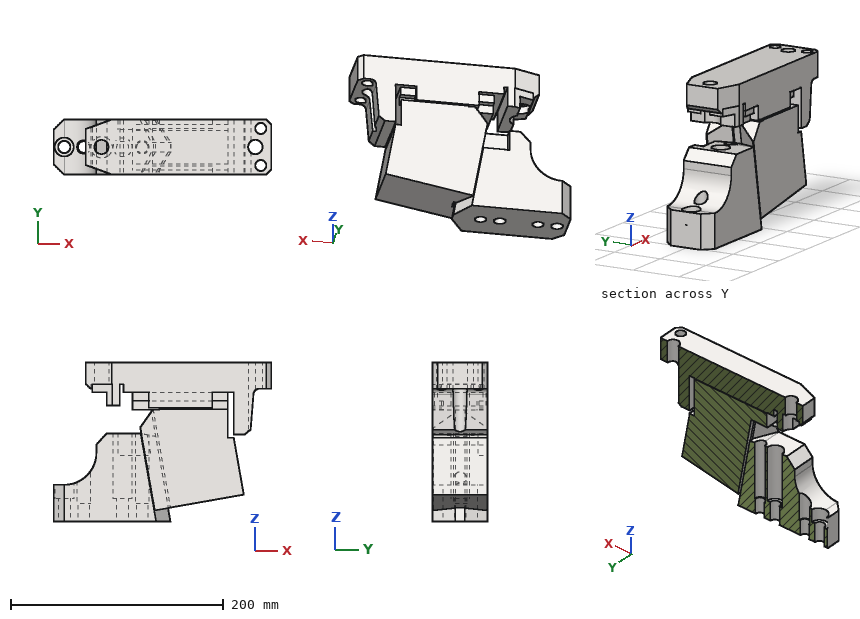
import cadquery as cq
import math

WIDTH = 52.0
HALF_WIDTH = WIDTH / 2
TOTAL_HEIGHT = 150.0
SLIDE_ANGLE = 10
SLIDE_TAN = math.tan(math.radians(SLIDE_ANGLE))
SLIDE_COS = math.cos(math.radians(SLIDE_ANGLE))
SLIDE_SIN = math.sin(math.radians(SLIDE_ANGLE))

DRIVER_FOOT_X = 96.5
DRIVER_TOP_Z = 83.2
TOE_HEIGHT = 34.8
TOE_LENGTH = 10.2
TOE_CORNER = 9.8
SCOOP_RADIUS = 30.0
SHOULDER_Z = 72.5
SHOULDER_RUN = 9.8
RIDGE_DEPTH = 13.3
RIDGE_CREST = 8.6
RIDGE_TOP_FALL = 11
CREST_SLOT_DEPTH = 2.0
CREST_X = RIDGE_DEPTH / SLIDE_COS
HALF_CREST = RIDGE_CREST / 2

BOLT_XS = (10.0, 64.8)
BOLT_DIAMETER = 11.3
BOLT_HEAD_DIAMETER = 17.8
BOLT_SEAT_Z = 22.0
DOWEL_XS = (28.3, 83.2)
DOWEL_DIAMETER = 12.5
DOWEL_EXIT_DIAMETER = 10.7
DOWEL_SEAT_Z = 17.5

NOTCH_X = 60.5
NOTCH_DEPTH = 9.5
NOTCH_FLOOR_Z = 62.7

SLIDE_GAP = 0.6
SLIDER_TOP_Z = 105.8
SLIDER_LEDGE_Z = 105.2
SLIDER_LEDGE_END_X = 99.5
SLIDER_NOSE_Z = 88.8
SLIDER_CHAMFER_X = 93.0
SLIDER_BOTTOM_Z = 10.7
SLIDER_LENGTH = 85.0
SLIDER_STEP_X = 164.0
SLIDER_STEP_Z = 79.1
TEE_START_X = 74.2
NECK_WIDTH = 31.2
FLANGE_WIDTH = 42.6
FLANGE_BOTTOM_Z = 113.8

HOLDER_START_X = 30.1
HOLDER_END_X = 205.0
HOLDER_UNDERSIDE_Z = 121.8
NOSE_WIDTH = 33.8
NOSE_END_X = 55.0
NOSE_CHAMFER = 4.7
TAIL_Z = 125.0
TAIL_CORNER = 5.0
POST_START_X = 50.0
POST_END_X = 62.3
POST_BOTTOM_Z = 109.3
POST_RIB_X = 36.3
RELIEF_TOP_Z = 129.2
RELIEF_RUN = 0.5
SLOT_END_X = 65.5
RAIL_START_X = 89.5
RAIL_END_X = 149.5
RAIL_BOTTOM_Z = 107.2
RAIL_MOUTH_WIDTH = 35.3
HOOK_START_X = 169.5
HOOK_BOTTOM_X = 179.8
HOOK_TIP_X = 185.5
HOOK_ROOT_X = 188.5
HOOK_BOTTOM_Z = 82.0
HOOK_CHAMFER_Z = 86.7
HOOK_FILLET = 5.3

MAIN_HOLE_DIAMETER = 13.3
MAIN_HOLE_XS = (45.0, 189.8)
POST_BORE_DIAMETER = 20.0
SIDE_HOLE_DIAMETER = 10.2
SIDE_HOLE_X = 195.0
SIDE_HOLE_SPACING = 34.8


def extrude_profile(points, width=WIDTH):
    """Prism of an XZ outline, centred on Y = 0."""
    return cq.Workplane("XZ").polyline(points).close().extrude(width / 2, both=True)


def block(x_range, y_range, z_range):
    """Axis-aligned box between the given limits."""
    size = [high - low for low, high in (x_range, y_range, z_range)]
    return cq.Workplane("XY").box(*size, centered=False).translate((x_range[0], y_range[0], z_range[0]))


def vertical_hole(x, y, diameter, bottom_z, top_z):
    """Cylinder along Z that is cut to make a hole."""
    cylinder = cq.Workplane("XY").circle(diameter / 2).extrude(top_z - bottom_z)
    return cylinder.translate((x, y, bottom_z))


def slide_face_x(z):
    """X of the driver's inclined face at height z."""
    return DRIVER_FOOT_X - z * SLIDE_TAN


def sweep_up_incline(plan, top_z):
    """Horizontal section, with X from the inclined face, swept up the incline from Z = 0 to top_z."""
    section = cq.Workplane("XY").polyline([(DRIVER_FOOT_X + x, y) for x, y in plan]).close()
    path = cq.Workplane("XZ").moveTo(DRIVER_FOOT_X, 0).lineTo(slide_face_x(top_z), top_z)
    return section.sweep(path)


def make_ridge(top_z):
    """V ridge with a flat crest, as wide as the driver at its root."""
    plan = [(0, -HALF_WIDTH), (CREST_X, -HALF_CREST), (CREST_X, HALF_CREST), (0, HALF_WIDTH)]
    return sweep_up_incline(plan, top_z)


def make_ridge_top_cut():
    """Wedge that makes the ridge's top fall away from the driver's top edge toward +X."""
    edge_x = slide_face_x(DRIVER_TOP_Z)
    fall = (DRIVER_FOOT_X - edge_x) * math.tan(math.radians(RIDGE_TOP_FALL))
    return extrude_profile([
        (edge_x, DRIVER_TOP_Z),
        (DRIVER_FOOT_X, DRIVER_TOP_Z - fall),
        (DRIVER_FOOT_X, DRIVER_TOP_Z),
    ])


def make_crest_slot(top_z):
    """Straight clearance slot that lies beyond the crest of the ridge."""
    floor_x = (RIDGE_DEPTH + CREST_SLOT_DEPTH) / SLIDE_COS
    plan = [(CREST_X, -HALF_CREST), (floor_x, -HALF_CREST), (floor_x, HALF_CREST), (CREST_X, HALF_CREST)]
    return sweep_up_incline(plan, top_z)


def make_driver():
    """Base with a scooped front, bolt and dowel holes, and the V ridge on its inclined face."""
    wall_x = TOE_LENGTH + SCOOP_RADIUS
    scoop_mid = (
        TOE_LENGTH + SCOOP_RADIUS * math.sin(math.pi / 4),
        TOE_HEIGHT + SCOOP_RADIUS * (1 - math.cos(math.pi / 4)),
    )
    body = (
        cq.Workplane("XZ")
        .moveTo(0, 0)
        .lineTo(0, TOE_HEIGHT)
        .lineTo(TOE_LENGTH, TOE_HEIGHT)
        .threePointArc(scoop_mid, (wall_x, TOE_HEIGHT + SCOOP_RADIUS))
        .lineTo(wall_x, SHOULDER_Z)
        .lineTo(wall_x + SHOULDER_RUN, DRIVER_TOP_Z)
        .lineTo(slide_face_x(DRIVER_TOP_Z), DRIVER_TOP_Z)
        .lineTo(DRIVER_FOOT_X, 0)
        .close()
        .extrude(HALF_WIDTH, both=True)
    )
    body = body.edges("|Z and <X").chamfer(TOE_CORNER)
    ridge_top = make_ridge_top_cut()
    body = body.union(make_ridge(DRIVER_TOP_Z).cut(ridge_top))
    for x in BOLT_XS:
        body = body.cut(vertical_hole(x, 0, BOLT_DIAMETER, 0, DRIVER_TOP_Z))
        body = body.cut(vertical_hole(x, 0, BOLT_HEAD_DIAMETER, BOLT_SEAT_Z, DRIVER_TOP_Z))
    for x in DOWEL_XS:
        body = body.cut(vertical_hole(x, 0, DOWEL_EXIT_DIAMETER, 0, DRIVER_TOP_Z))
        body = body.cut(vertical_hole(x, 0, DOWEL_DIAMETER, DOWEL_SEAT_Z, DRIVER_TOP_Z))
    notch_y = (HALF_WIDTH - NOTCH_DEPTH, HALF_WIDTH)
    notch = block((NOTCH_X, DRIVER_FOOT_X), notch_y, (NOTCH_FLOOR_Z, DRIVER_TOP_Z))
    return body.cut(notch)


def make_slider():
    """Block grooved to fit the ridge, with a tee on top that hangs it from the holder."""
    face_foot_x = DRIVER_FOOT_X + SLIDE_GAP
    corner_x = face_foot_x - SLIDER_BOTTOM_Z * SLIDE_TAN
    back_x = corner_x + SLIDER_LENGTH * SLIDE_COS
    back_z = SLIDER_BOTTOM_Z + SLIDER_LENGTH * SLIDE_SIN
    body = extrude_profile([
        (corner_x, SLIDER_BOTTOM_Z),
        (face_foot_x - SLIDER_NOSE_Z * SLIDE_TAN, SLIDER_NOSE_Z),
        (SLIDER_CHAMFER_X, SLIDER_LEDGE_Z),
        (SLIDER_LEDGE_END_X, SLIDER_LEDGE_Z),
        (SLIDER_LEDGE_END_X, SLIDER_TOP_Z),
        (SLIDER_STEP_X, SLIDER_TOP_Z),
        (SLIDER_STEP_X, SLIDER_STEP_Z),
        (back_x - (SLIDER_STEP_Z - back_z) * SLIDE_TAN, SLIDER_STEP_Z),
        (back_x, back_z),
    ])
    body = body.cut(make_ridge(SLIDER_LEDGE_Z)).cut(make_crest_slot(SLIDER_LEDGE_Z))
    tee_x = (TEE_START_X, SLIDER_STEP_X)
    neck = block(tee_x, (-NECK_WIDTH / 2, NECK_WIDTH / 2), (SLIDER_LEDGE_Z, FLANGE_BOTTOM_Z))
    flange = block(tee_x, (-FLANGE_WIDTH / 2, FLANGE_WIDTH / 2), (FLANGE_BOTTOM_Z, HOLDER_UNDERSIDE_Z))
    return body.union(neck).union(flange)


def nose_half_width(x):
    """Half width of the tapered nose at x."""
    taper = (HALF_WIDTH - NOSE_WIDTH / 2) / (NOSE_END_X - HOLDER_START_X)
    return NOSE_WIDTH / 2 + taper * (x - HOLDER_START_X)


def make_holder():
    """Top plate with a front post, a slotted rail for the slider's tee, and a rear hook."""
    body = extrude_profile([
        (HOLDER_START_X, TOTAL_HEIGHT),
        (HOLDER_START_X, TAIL_Z + NOSE_CHAMFER),
        (HOLDER_START_X + NOSE_CHAMFER, TAIL_Z),
        (POST_RIB_X, TAIL_Z),
        (POST_RIB_X, HOLDER_UNDERSIDE_Z),
        (POST_START_X, HOLDER_UNDERSIDE_Z),
        (POST_START_X, POST_BOTTOM_Z),
        (POST_END_X, POST_BOTTOM_Z),
        (POST_END_X, RELIEF_TOP_Z),
        (SLOT_END_X, RELIEF_TOP_Z),
        (SLOT_END_X, HOLDER_UNDERSIDE_Z),
        (RAIL_START_X, HOLDER_UNDERSIDE_Z),
        (RAIL_START_X, RAIL_BOTTOM_Z),
        (RAIL_END_X, RAIL_BOTTOM_Z),
        (RAIL_END_X, HOLDER_UNDERSIDE_Z),
        (HOOK_START_X, HOLDER_UNDERSIDE_Z),
        (HOOK_START_X, HOOK_BOTTOM_Z),
        (HOOK_BOTTOM_X, HOOK_BOTTOM_Z),
        (HOOK_TIP_X, HOOK_CHAMFER_Z),
        (HOOK_ROOT_X, TAIL_Z),
        (HOLDER_END_X, TAIL_Z),
        (HOLDER_END_X, TOTAL_HEIGHT),
    ])
    hook_root = cq.selectors.NearestToPointSelector((HOOK_ROOT_X, 0, TAIL_Z))
    body = body.edges(hook_root).fillet(HOOK_FILLET)

    half_side = [
        (HOLDER_START_X, NOSE_WIDTH / 2),
        (NOSE_END_X, HALF_WIDTH),
        (HOLDER_END_X - TAIL_CORNER, HALF_WIDTH),
        (HOLDER_END_X, HALF_WIDTH - TAIL_CORNER),
    ]
    plan = half_side + [(x, -y) for x, y in reversed(half_side)]
    body = body.intersect(cq.Workplane("XY").polyline(plan).close().extrude(TOTAL_HEIGHT))

    relief_y = nose_half_width(POST_RIB_X - RELIEF_RUN)
    relief = (
        cq.Workplane("XY")
        .workplane(offset=POST_BOTTOM_Z)
        .polyline([
            (POST_RIB_X, relief_y),
            (POST_RIB_X, HALF_WIDTH),
            (NOSE_END_X + RELIEF_RUN, HALF_WIDTH),
        ])
        .close()
        .extrude(RELIEF_TOP_Z - POST_BOTTOM_Z)
    )
    body = body.cut(relief).cut(relief.mirror("XZ"))

    rail_x = (RAIL_START_X, RAIL_END_X)
    mouth_half = RAIL_MOUTH_WIDTH / 2
    flange_half = FLANGE_WIDTH / 2
    body = body.cut(block(rail_x, (-mouth_half, mouth_half), (RAIL_BOTTOM_Z, FLANGE_BOTTOM_Z)))
    body = body.cut(block(rail_x, (-flange_half, flange_half), (FLANGE_BOTTOM_Z, HOLDER_UNDERSIDE_Z)))

    for x in MAIN_HOLE_XS:
        body = body.cut(vertical_hole(x, 0, MAIN_HOLE_DIAMETER, 0, TOTAL_HEIGHT))
    body = body.cut(vertical_hole(MAIN_HOLE_XS[0], 0, POST_BORE_DIAMETER, POST_BOTTOM_Z, RELIEF_TOP_Z))
    for side in (-1, 1):
        y = side * SIDE_HOLE_SPACING / 2
        body = body.cut(vertical_hole(SIDE_HOLE_X, y, SIDE_HOLE_DIAMETER, 0, TOTAL_HEIGHT))
    return body


driver = make_driver().solids().val()
slider = make_slider().solids().val()
holder = make_holder().solids().val()

result = cq.Compound.makeCompound([driver, slider, holder])